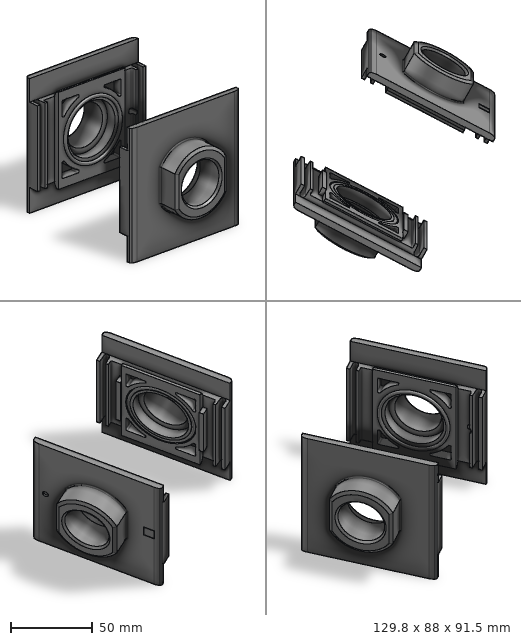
import cadquery as cq
import math


total_length = 129.8
boss_length = 14.9
face_x = boss_length - total_length / 2

plate_half_width = 44.0
plate_top = 45.0
plate_bottom = -46.5
plate_thickness = 4.0
edge_curve_inset = 4.5
edge_curve_drop = 0.6
edge_chamfer_width = 0.9
edge_chamfer_depth = 1.0

rail_half_height = 29.0
web_depth = 7.7
rail_depth = 11.3
slot_outer_y = 41.6
slot_bottom_inner_y = 38.0
slot_tip_inner_y = 37.6
rail_inner_y = 35.8
rail_fillet = 0.8

block_half_width = 27.0
block_half_height = 33.0
wedge_root_depth = 7.4
wedge_tip_depth = 9.5

pocket_half_width = 23.9
pocket_half_height = 26.6
pocket_wall_radius = 26.9
pocket_floor_depth = 4.4
pocket_fillet = 1.0

boss_diameter = 48.0
boss_half_flats = 20.6
boss_chamfer_axial = 1.3
boss_chamfer_radial = 2.2
boss_base_fillet = 0.9
bore_diameter = 30.2
bore_chamfer = 1.4
seat_diameter = 38.0

seal_inner_diameter = 42.0
seal_section_radius = 1.23
seal_mid_radius = seal_inner_diameter / 2 + seal_section_radius
groove_diameter = 48.0
groove_depth = 2.1

pin_hole_y = 35.0
pin_hole_diameter = 3.8
pin_hole_rim_diameter = 4.0
pin_hole_rim_depth = 1.2
label_size = 7.3
label_depth = 0.3

post_width = 3.0
post_half_height = 17.9
post_depth = 12.7


def disc(diameter, start_depth, end_depth):
    """Cylinder along X on the bore axis."""
    plane = cq.Workplane("YZ", origin=(face_x + start_depth, 0, 0))
    return plane.circle(diameter / 2).extrude(end_depth - start_depth)


def block(start_depth, end_depth, y_range, z_range):
    """Box between two depths, two Y and two Z positions."""
    size = (end_depth - start_depth, y_range[1] - y_range[0], z_range[1] - z_range[0])
    corner = (face_x + start_depth, y_range[0], z_range[0])
    return cq.Workplane("XY", origin=corner).box(*size, centered=False)


def panel():
    """Plate with gently curved and chamfered outer side edges."""
    inner_y = plate_half_width - edge_curve_inset
    outer_y = plate_half_width - edge_chamfer_width
    curve_width = outer_y - inner_y
    curve_radius = (curve_width**2 + edge_curve_drop**2) / (2 * edge_curve_drop)
    half_angle = math.asin(curve_width / curve_radius) / 2
    mid_y = inner_y + curve_radius * math.sin(half_angle)
    mid_x = face_x + curve_radius * (1 - math.cos(half_angle))
    curve_end_x = face_x + edge_curve_drop
    side_x = curve_end_x + edge_chamfer_depth
    back_x = face_x + plate_thickness
    return (
        cq.Workplane("XY", origin=(0, 0, plate_bottom))
        .moveTo(face_x, -inner_y)
        .lineTo(face_x, inner_y)
        .threePointArc((mid_x, mid_y), (curve_end_x, outer_y))
        .lineTo(side_x, plate_half_width)
        .lineTo(back_x, plate_half_width)
        .lineTo(back_x, -plate_half_width)
        .lineTo(side_x, -plate_half_width)
        .lineTo(curve_end_x, -outer_y)
        .threePointArc((mid_x, -mid_y), (face_x, -inner_y))
        .close()
        .extrude(plate_top - plate_bottom)
    )


def rail_slot(side):
    """Round-bottomed slot that splits a rail into two legs; side is 1 or -1."""
    bottom_radius = (slot_outer_y - slot_bottom_inner_y) / 2
    bottom_mid_y = (slot_outer_y + slot_bottom_inner_y) / 2
    bottom_x = face_x + plate_thickness
    arc_end_x = bottom_x + bottom_radius
    tip_x = face_x + rail_depth
    return (
        cq.Workplane("XY", origin=(0, 0, -rail_half_height))
        .moveTo(tip_x, side * slot_outer_y)
        .lineTo(arc_end_x, side * slot_outer_y)
        .threePointArc((bottom_x, side * bottom_mid_y), (arc_end_x, side * slot_bottom_inner_y))
        .lineTo(tip_x, side * slot_tip_inner_y)
        .close()
        .extrude(2 * rail_half_height)
    )


def rails():
    """Web behind the panel with a slotted rail along each side."""
    z_range = (-rail_half_height, rail_half_height)
    body = block(plate_thickness, rail_depth, (-plate_half_width, plate_half_width), z_range)
    channel = block(web_depth, rail_depth, (-rail_inner_y, rail_inner_y), z_range)
    body = body.cut(channel.edges("|Z and <X").fillet(rail_fillet))
    for side in (1, -1):
        body = body.cut(rail_slot(side))
    return body


def central_block():
    """Block around the bore whose sloped top and bottom edges snap into place."""
    root_x = face_x + wedge_root_depth
    wedge_x = face_x + wedge_tip_depth
    tip_x = face_x + rail_depth
    return (
        cq.Workplane("XZ", origin=(0, block_half_width, 0))
        .moveTo(root_x, -rail_half_height)
        .lineTo(root_x, rail_half_height)
        .lineTo(wedge_x, block_half_height)
        .lineTo(tip_x, block_half_height)
        .lineTo(tip_x, -block_half_height)
        .lineTo(wedge_x, -block_half_height)
        .close()
        .extrude(2 * block_half_width)
    )


def corner_pockets():
    """Cutter for the four pockets between the bore wall and the block corners."""
    y_range = (-pocket_half_width, pocket_half_width)
    z_range = (-pocket_half_height, pocket_half_height)
    pockets = block(pocket_floor_depth, rail_depth, y_range, z_range)
    pockets = pockets.cut(disc(2 * pocket_wall_radius, pocket_floor_depth, rail_depth))
    return pockets.edges("|X").fillet(pocket_fillet)


def add_boss(body):
    """Add the outer boss with two flats, a chamfered end and a filleted base."""
    shank_length = boss_length - boss_chamfer_axial
    flats_half_height = math.sqrt((boss_diameter / 2) ** 2 - boss_half_flats**2)
    chamfer_angle = math.degrees(math.atan2(boss_chamfer_radial, boss_chamfer_axial))
    boss = (
        cq.Workplane("YZ", origin=(face_x, 0, 0))
        .moveTo(boss_half_flats, -flats_half_height)
        .lineTo(boss_half_flats, flats_half_height)
        .threePointArc((0, boss_diameter / 2), (-boss_half_flats, flats_half_height))
        .lineTo(-boss_half_flats, -flats_half_height)
        .threePointArc((0, -boss_diameter / 2), (boss_half_flats, -flats_half_height))
        .close()
        .extrude(-shank_length)
    )
    tip = boss.faces("<X").wires().toPending().workplane(origin=(face_x - shank_length, 0, 0))
    boss = tip.extrude(boss_chamfer_axial, taper=chamfer_angle)
    body = body.union(boss)
    margin = boss_base_fillet / 2
    base_edges = cq.selectors.BoxSelector(
        (face_x - margin, -boss_diameter / 2 - margin, -boss_diameter / 2 - margin),
        (face_x + margin, boss_diameter / 2 + margin, boss_diameter / 2 + margin),
        boundingbox=True,
    )
    return body.edges(base_edges).fillet(boss_base_fillet)


def cut_bore(body):
    """Cut the chamfered bore and the wider seat behind it."""
    body = body.cut(disc(bore_diameter, -boss_length, rail_depth))
    body = body.cut(disc(seat_diameter, plate_thickness, rail_depth))
    mouth = cq.Workplane("YZ", origin=(-total_length / 2, 0, 0)).circle(bore_diameter / 2 + bore_chamfer)
    mouth = mouth.workplane(offset=bore_chamfer).circle(bore_diameter / 2).loft(combine=True)
    return body.cut(mouth)


def common_plate():
    """Features shared by both plates, placed as the left plate."""
    body = add_boss(panel()).union(rails()).union(central_block())
    return cut_bore(body.cut(corner_pockets()))


def mirrored(body):
    """Turn a left-side body into the matching right-side body."""
    return body.mirror("YZ")


def left_plate():
    """Plate with a rimmed pin hole and a shallow label recess in its outer face."""
    hole = disc(pin_hole_diameter, 0, rail_depth).translate((0, pin_hole_y, 0))
    rim = disc(pin_hole_rim_diameter, 0, pin_hole_rim_depth).translate((0, pin_hole_y, 0))
    label_edge_y = edge_curve_inset - plate_half_width
    label_y_range = (label_edge_y, label_edge_y + label_size)
    label = block(0, label_depth, label_y_range, (-label_size / 2, label_size / 2))
    return common_plate().cut(hole).cut(rim).cut(label)


def right_plate():
    """Plate with two guide posts and a groove for its seal ring."""
    body = common_plate()
    z_range = (-post_half_height, post_half_height)
    post_outer_y = block_half_width + post_width
    for y_range in ((block_half_width, post_outer_y), (-post_outer_y, -block_half_width)):
        body = body.union(block(web_depth, post_depth, y_range, z_range))
    groove_floor = rail_depth - groove_depth
    groove = disc(groove_diameter, groove_floor, rail_depth)
    groove = groove.cut(disc(seal_inner_diameter, groove_floor, rail_depth))
    return mirrored(body.cut(groove))


def seal_ring(seat_depth):
    """Round-section ring resting on a flat seat at the given depth."""
    centre = cq.Vector(face_x + seat_depth + seal_section_radius, 0, 0)
    torus = cq.Solid.makeTorus(seal_mid_radius, seal_section_radius, centre, cq.Vector(1, 0, 0))
    return cq.Workplane(obj=torus)


plate_on_left = left_plate()
plate_on_right = right_plate()
seal_on_left = seal_ring(rail_depth)
seal_on_right = mirrored(seal_ring(rail_depth - groove_depth))

result = cq.Compound.makeCompound(
    [
        plate_on_left.solids().val(),
        plate_on_right.solids().val(),
        seal_on_left.val(),
        seal_on_right.val(),
    ]
)